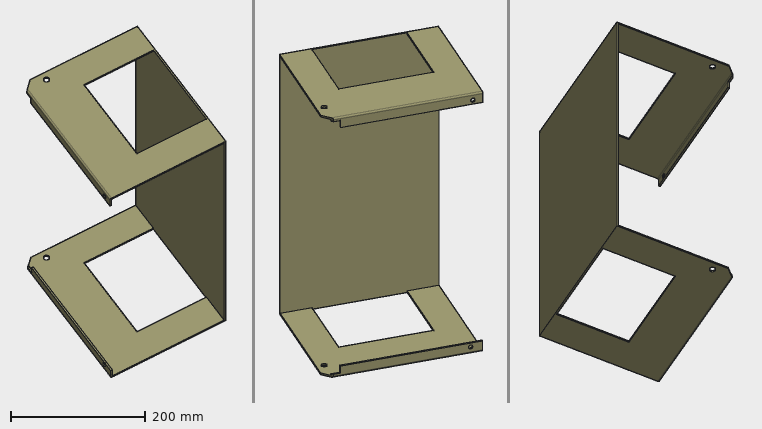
import cadquery as cq

width = 250.0
depth = 203.0
height = 450.0
sheet = 3.0

inside_radius = 2.0
outside_radius = 2.5
bottom_setback = 1.5
lip_height = 18.0
lip_start = 26.0
relief_height = 6.0

corner_cut = 15.0
window_width = 150.0
window_front = 78.8
flange_hole_diameter = 9.0
flange_hole_x = 12.5
flange_hole_y = 36.0

lip_hole_diameter = 6.8
lip_hole_height = 11.2
top_lip_hole_x = 234.5
bottom_lip_hole_x = 231.5


def box(x, y, z, size_x, size_y, size_z):
    """Box with its lowest corner at (x, y, z)."""
    return cq.Workplane("XY").box(size_x, size_y, size_z, centered=False).translate((x, y, z))


def flange(front, lip_hole_x):
    """Bottom flange with its upturned lip, window, holes and cut corner."""
    body = box(0, front, 0, width, depth - front, lip_height)
    body = body.edges("|X and <Y and <Z").fillet(outside_radius)
    clearance = box(0, front + sheet, sheet, width, depth, lip_height)
    clearance = clearance.edges("|X and <Y and <Z").fillet(inside_radius)
    body = body.cut(clearance)

    body = body.cut(box(0, front, relief_height, lip_start, sheet, lip_height))

    corner = (
        cq.Workplane("XY")
        .polyline([(0, front), (corner_cut, front), (0, front + corner_cut)])
        .close()
        .extrude(lip_height)
    )
    window_left = (width - window_width) / 2
    window = box(window_left, window_front, 0, window_width, depth - sheet - window_front, sheet)
    flange_hole = (
        cq.Workplane("XY")
        .center(flange_hole_x, flange_hole_y)
        .circle(flange_hole_diameter / 2)
        .extrude(sheet)
    )
    lip_hole = (
        cq.Workplane("XZ", origin=(lip_hole_x, front, lip_hole_height))
        .circle(lip_hole_diameter / 2)
        .extrude(-sheet)
    )
    return body.cut(corner).cut(window).cut(flange_hole).cut(lip_hole)


back_wall = box(0, depth - sheet, 0, width, sheet, height)
bottom_flange = flange(bottom_setback, bottom_lip_hole_x)
top_flange = flange(0, top_lip_hole_x).mirror("XY").translate((0, 0, height))

result = back_wall.union(bottom_flange).union(top_flange)